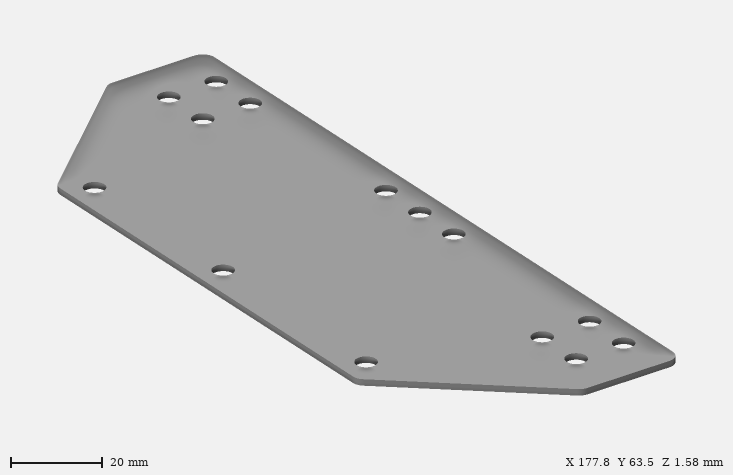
import cadquery as cq

length = 177.8
pitch = length / 14
width = 5 * pitch
thickness = 1.58
hole_diameter = 5.2
corner_radius = 3.2

half_length = length / 2
back_y = width / 2
front_y = -width / 2
side_length = 26.3
front_half_length = 56.2
shoulder_y = back_y - side_length

edge_margin = pitch / 2
back_row_y = back_y - edge_margin
front_row_y = front_y + edge_margin
outer_hole_x = half_length - pitch
front_hole_x = 4 * pitch
front_middle_x = -2.7


def make_plate():
    """Flat plate with tapered ends and rounded corners, resting on Z = 0."""
    outline = [
        (-half_length, back_y),
        (half_length, back_y),
        (half_length, shoulder_y),
        (front_half_length, front_y),
        (-front_half_length, front_y),
        (-half_length, shoulder_y),
    ]
    plate = cq.Workplane("XY").polyline(outline).close().extrude(thickness)
    return plate.edges("|Z").fillet(corner_radius)


def hole_positions():
    """Two end groups of four, three behind the centre and three along the front."""
    points = [(column * pitch, back_row_y) for column in (-1, 0, 1)]
    points += [(x, front_row_y) for x in (-front_hole_x, front_middle_x, front_hole_x)]
    for side in (-1, 1):
        for x in (outer_hole_x, outer_hole_x - pitch):
            for y in (back_row_y, back_row_y - pitch):
                points.append((side * x, y))
    return points


holes = cq.Workplane("XY").pushPoints(hole_positions()).circle(hole_diameter / 2).extrude(thickness)
result = make_plate().cut(holes)